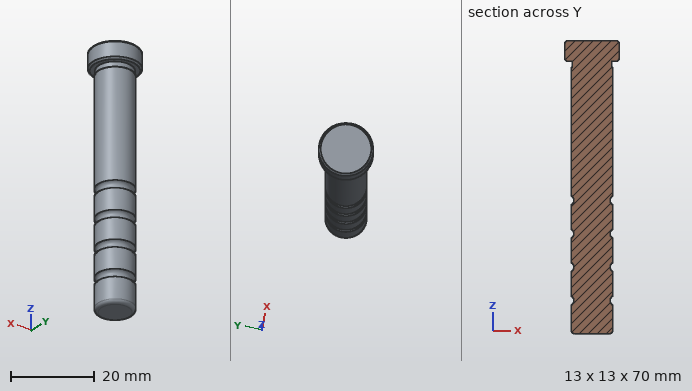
import cadquery as cq

total_length = 70.0
head_diameter = 13.0
head_height = 5.0
head_chamfer = 0.5
shank_diameter = 10.0
tip_fillet = 1.0

relief_diameter = 9.6
relief_length = 1.3

groove_count = 4
lowest_groove_height = 8.0
groove_pitch = 8.0
groove_width = 2.1
groove_depth = 0.6

head_bottom = total_length - head_height
shank_radius = shank_diameter / 2
relief_radius = relief_diameter / 2
relief_chamfer = shank_radius - relief_radius
shank_top = head_bottom - relief_length - relief_chamfer


def make_head():
    """Disc head with both rims chamfered."""
    disc = cq.Workplane("XY").workplane(offset=head_bottom).circle(head_diameter / 2).extrude(head_height)
    return disc.edges().chamfer(head_chamfer)


def make_shank():
    """Revolved shank with a rounded tip, arc grooves and a relief neck."""
    profile = cq.Workplane("XZ").lineTo(shank_radius, 0)
    for index in range(groove_count):
        middle = lowest_groove_height + index * groove_pitch
        profile = profile.lineTo(shank_radius, middle - groove_width / 2)
        profile = profile.threePointArc(
            (shank_radius - groove_depth, middle),
            (shank_radius, middle + groove_width / 2),
        )
    profile = (
        profile.lineTo(shank_radius, shank_top)
        .lineTo(relief_radius, shank_top + relief_chamfer)
        .lineTo(relief_radius, head_bottom)
        .lineTo(0, head_bottom)
        .close()
    )
    shank = profile.revolve(360, (0, 0, 0), (0, 1, 0))
    return shank.faces("<Z").edges().fillet(tip_fillet)


result = make_shank().union(make_head())